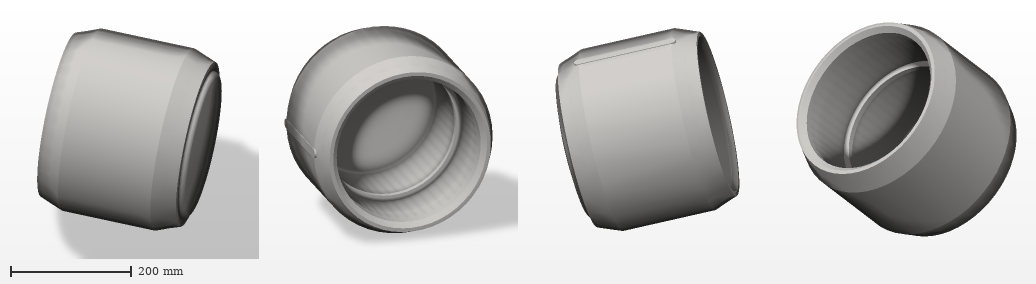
import cadquery as cq
import math

barrel_radius = 155.03
barrel_length = 238.5
taper_length = 39.8
end_radius = 140.0

bore_radius = 125.0
mouth_radius = 133.5
mouth_chamfer_depth = mouth_radius - bore_radius

lip_depth = 116.5
lip_thickness = 10.0
lip_radius = 115.0

overall_length = 258.8
cap_inner_radius = 117.5
cap_wall = bore_radius - cap_inner_radius
outer_knuckle_radius = 10.0
inner_knuckle_radius = 5.0

pad_length = 174.5
pad_width = 16.0
pad_top = 155.97


def draw_dome(outline, side_radius, knuckle_radius, apex_x):
    """Continue an outline from the barrel end round a knuckle and over a tangent dome to the axis.

    The knuckle is centred on the plane of the barrel end, so it starts parallel to the axis.
    """
    center_radius = side_radius - knuckle_radius
    rise = apex_x - barrel_length
    dome_radius = (rise**2 + center_radius**2 - knuckle_radius**2) / (2 * (rise - knuckle_radius))
    dome_angle = math.asin(center_radius / (dome_radius - knuckle_radius))

    def knuckle_point(angle):
        return (
            barrel_length + knuckle_radius * math.cos(angle),
            center_radius + knuckle_radius * math.sin(angle),
        )

    def dome_point(angle):
        return (
            apex_x - dome_radius * (1 - math.cos(angle)),
            dome_radius * math.sin(angle),
        )

    return (
        outline.lineTo(barrel_length, side_radius)
        .threePointArc(knuckle_point((math.pi / 2 + dome_angle) / 2), knuckle_point(dome_angle))
        .threePointArc(dome_point(dome_angle / 2), (apex_x, 0))
    )


def revolve_about_x(outline):
    return outline.close().revolve(360, (0, 0, 0), (1, 0, 0))


def make_barrel_and_cap():
    """Solid of the outer shape, before it is hollowed."""
    outline = (
        cq.Workplane("XY")
        .lineTo(0, end_radius)
        .lineTo(taper_length, barrel_radius)
        .lineTo(barrel_length - taper_length, barrel_radius)
        .lineTo(barrel_length, end_radius)
    )
    return revolve_about_x(draw_dome(outline, bore_radius, outer_knuckle_radius, overall_length))


def make_cavity():
    """Space inside: chamfered mouth, bore, lip opening and the domed cap interior."""
    lip_back = lip_depth + lip_thickness
    outline = (
        cq.Workplane("XY")
        .lineTo(0, mouth_radius)
        .lineTo(mouth_chamfer_depth, bore_radius)
        .lineTo(lip_depth, bore_radius)
        .lineTo(lip_depth, lip_radius)
        .lineTo(lip_back, lip_radius)
        .lineTo(lip_back, cap_inner_radius)
    )
    inner_apex_x = overall_length - cap_wall
    return revolve_about_x(draw_dome(outline, cap_inner_radius, inner_knuckle_radius, inner_apex_x))


def make_pad():
    """Round-ended pad along the barrel, rooted inside the barrel wall."""
    root_y = (bore_radius + barrel_radius) / 2
    return (
        cq.Workplane("XZ", origin=(barrel_length / 2, pad_top, 0))
        .slot2D(pad_length, pad_width)
        .extrude(pad_top - root_y)
    )


result = make_barrel_and_cap().cut(make_cavity()).union(make_pad())